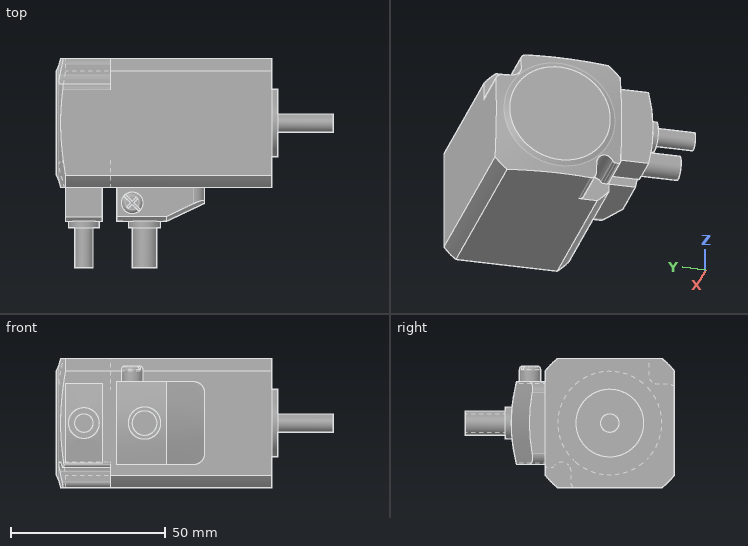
import cadquery as cq
import math

body_half = 21.0
corner_radius = 27.0
body_length = 70.0
cap_length = 17.6

disc_radius = 16.85
rim_radius = 18.6
rim_depth = 0.8
cap_cone_angle = 15.0

pocket_depth = 8.35
pocket_radius = 3.0
lip_radius = 1.8
low_floor_depth = 6.5
low_floor_radius = 1.0
low_floor_lip_radius = 1.0
pocket_margin = 2.0

flange_diameter = 22.0
flange_length = 2.0
shaft_diameter = 6.0
shaft_end = 90.0

housing_height = 11.0
arch_radius = 55.0
housing_overlap = 3.0
collar_height = 13.0
cable_height = 26.0

signal_start = 3.0
signal_length = 12.0
signal_half_width = 12.9
signal_collar_diameter = 10.0
signal_cable_diameter = 6.0

power_start = 19.6
power_flat_length = 16.3
power_slope_length = 12.3
power_slope_drop = 5.9
power_half_width = 13.45
power_corner_radius = 3.6
power_cable_offset = 9.1
power_collar_diameter = 10.5
power_cable_diameter = 8.0

screw_offset = 5.1
screw_depth = 4.9
screw_diameter = 7.0
screw_top = 18.6
screw_round = 1.3
slot_width = 0.75
slot_depth = 1.2
slot_angle = 45.0


def x_cylinder(radius, start, end):
    return cq.Workplane("YZ", origin=(start, 0, 0)).circle(radius).extrude(end - start)


def make_body():
    """Rounded square body whose rear end is cut to the cap's coned face."""
    block = cq.Workplane("YZ").rect(2 * body_half, 2 * body_half).extrude(body_length)
    cone_depth = (corner_radius - rim_radius) * math.tan(math.radians(cap_cone_angle))
    half_section = [
        (0, 0),
        (0, disc_radius),
        (rim_depth, rim_radius),
        (rim_depth + cone_depth, corner_radius),
        (body_length, corner_radius),
        (body_length, 0),
    ]
    turned = cq.Workplane("XY").polyline(half_section).close().revolve(360, (0, 0, 0), (1, 0, 0))
    return block.intersect(turned)


def lip_points(depth, radius):
    """Points (inset, depth) of a quarter-round pocket edge, from the outer face to the pocket wall."""
    middle = radius * (1 - math.sqrt(0.5))
    return [(0, depth + radius), (middle, depth + middle), (radius, depth)]


def make_pocket(side, raised_floor):
    """Corner pocket; side is +1 at the +Y+Z corner and -1 at the -Y-Z corner."""

    def place(y_inset, z_inset):
        return side * (body_half - y_inset), side * (body_half - z_inset)

    def on_arc(center, radius, degrees):
        angle = math.radians(degrees)
        return center[0] + radius * math.cos(angle), center[1] + radius * math.sin(angle)

    wall_lip = [(depth, inset) for inset, depth in lip_points(pocket_depth, lip_radius)]
    round_center = (pocket_depth - pocket_radius, pocket_depth - pocket_radius)
    outline = (
        cq.Workplane("YZ")
        .moveTo(*place(-pocket_margin, -pocket_margin))
        .lineTo(*place(wall_lip[0][0], -pocket_margin))
        .lineTo(*place(*wall_lip[0]))
        .threePointArc(place(*wall_lip[1]), place(*wall_lip[2]))
        .lineTo(*place(pocket_depth, round_center[1]))
    )
    if raised_floor:
        floor_lip = lip_points(low_floor_depth, low_floor_lip_radius)
        rise = low_floor_depth + low_floor_radius - round_center[1]
        reach = pocket_radius + low_floor_radius
        turn = 180 - math.degrees(math.asin(rise / reach))
        blend_center = on_arc(round_center, reach, turn)
        blend_start = turn - 180
        blend_end = -90
        outline = outline.threePointArc(
            place(*on_arc(round_center, pocket_radius, turn / 2)),
            place(*on_arc(round_center, pocket_radius, turn)),
        ).threePointArc(
            place(*on_arc(blend_center, low_floor_radius, (blend_start + blend_end) / 2)),
            place(blend_center[0], low_floor_depth),
        )
    else:
        floor_lip = lip_points(pocket_depth, lip_radius)
        outline = outline.threePointArc(
            place(*on_arc(round_center, pocket_radius, 45)),
            place(round_center[0], pocket_depth),
        )
    outline = (
        outline.lineTo(*place(*floor_lip[2]))
        .threePointArc(place(*floor_lip[1]), place(*floor_lip[0]))
        .lineTo(*place(-pocket_margin, floor_lip[0][1]))
        .close()
    )
    return outline.extrude(cap_length)


def arch_profile(start, half_width):
    """Housing section in the YZ plane, its outer edge an arc across the width."""
    crest = -body_half - housing_height
    base = -body_half + housing_overlap
    edge = crest + arch_radius - math.sqrt(arch_radius**2 - half_width**2)
    return (
        cq.Workplane("YZ", origin=(start, 0, 0))
        .moveTo(base, -half_width)
        .lineTo(edge, -half_width)
        .threePointArc((crest, 0), (edge, half_width))
        .lineTo(base, half_width)
        .close()
    )


def make_cable(x, collar_diameter, cable_diameter):
    face = cq.Workplane("XZ", origin=(x, -body_half, 0))
    collar = face.circle(collar_diameter / 2).extrude(collar_height)
    return collar.union(face.circle(cable_diameter / 2).extrude(cable_height))


def make_power_housing():
    """Arched housing whose outer face slopes down to a rounded +X end."""
    slope_start = power_start + power_flat_length
    total_length = power_flat_length + power_slope_length
    flat_part = arch_profile(power_start, power_half_width).extrude(power_flat_length)
    slope_face = cq.Face.makeFromWires(arch_profile(slope_start, power_half_width).wire().val())
    slope_direction = cq.Vector(power_slope_length, power_slope_drop, 0)
    slope_part = cq.Workplane(cq.Solid.extrudeLinear(slope_face, slope_direction))
    envelope = (
        cq.Workplane("XZ", origin=(power_start + total_length / 2, 0, 0))
        .rect(total_length, 2 * power_half_width)
        .extrude(body_half + housing_height)
        .edges("|Y and >X")
        .fillet(power_corner_radius)
    )
    return flat_part.union(slope_part).intersect(envelope)


def make_screw():
    """Round-edged screw head with a full-width slot crossed by a shorter one."""
    head_length = screw_top - power_half_width
    head = (
        cq.Workplane("XY", origin=(0, 0, power_half_width))
        .circle(screw_diameter / 2)
        .extrude(head_length)
        .faces(">Z")
        .edges()
        .fillet(screw_round)
    )
    flat_diameter = screw_diameter - 2 * screw_round
    for length, angle in ((2 * screw_diameter, -slot_angle), (flat_diameter, slot_angle)):
        slot = cq.Workplane("XY", origin=(0, 0, screw_top)).rect(length, slot_width).extrude(-slot_depth)
        head = head.cut(slot.rotate((0, 0, 0), (0, 0, 1), angle))
    return head.translate((power_start + screw_offset, -body_half - screw_depth, 0))


body = make_body()
body = body.cut(make_pocket(1, raised_floor=False))
body = body.cut(make_pocket(-1, raised_floor=True))

flange = x_cylinder(flange_diameter / 2, body_length, body_length + flange_length)
shaft = x_cylinder(shaft_diameter / 2, body_length, shaft_end)

signal_housing = arch_profile(signal_start, signal_half_width).extrude(signal_length)
signal_cable = make_cable(signal_start + signal_length / 2, signal_collar_diameter, signal_cable_diameter)
power_cable = make_cable(power_start + power_cable_offset, power_collar_diameter, power_cable_diameter)

result = body
for piece in (flange, shaft, signal_housing, signal_cable, make_power_housing(), power_cable, make_screw()):
    result = result.union(piece)